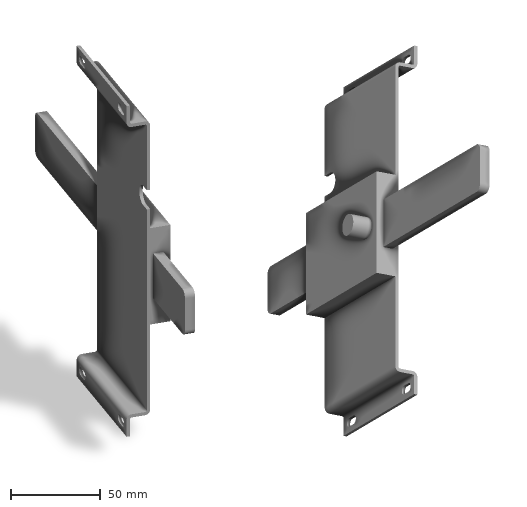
import cadquery as cq

plate_width = 80.0
plate_height = 206.0
sheet = 2.0
plate_back = 14.0
foot_height = 11.5
bend_inner = 1.0
bend_outer = bend_inner + sheet

slot_length = 10.0
slot_width = 5.0
slot_edge_x = 9.0
slot_edge_z = 6.0

notch_width = 12.0
notch_depth = 12.0
notch_z = 42.5

lock_z = -5.5
housing_height = 60.0
housing_depth = 12.0
housing_back = plate_back + housing_depth

bar_height = 28.0
bar_thickness = 6.0
bar_corner = 4.0
bar_front = 15.75
bar_reach_left = 109.5
bar_length = 240.5

spindle_diameter = 12.5
spindle_length = 11.7
spindle_edge_x = 12.0

half_width = plate_width / 2
half_height = plate_height / 2
web_outer = half_height - foot_height
web_inner = web_outer - sheet


def block(x_min, y_min, z_min, length, depth, height):
    """Box placed by its lowest corner."""
    return cq.Workplane("XY").box(length, depth, height, centered=False).translate((x_min, y_min, z_min))


def make_plate():
    """Flat panel, two webs and two feet, with all four bends rounded."""
    plate = block(-half_width, plate_back - sheet, -web_outer, plate_width, sheet, 2 * web_outer)
    for z_web, z_foot in ((web_inner, web_inner), (-web_outer, -half_height)):
        web = block(-half_width, 0, z_web, plate_width, plate_back, sheet)
        foot = block(-half_width, 0, z_foot, plate_width, sheet, half_height - web_inner)
        plate = plate.union(web).union(foot)
    for y, z, radius in (
        (plate_back, web_outer, bend_outer),
        (plate_back - sheet, web_inner, bend_inner),
        (sheet, web_outer, bend_inner),
        (0, web_inner, bend_outer),
    ):
        for side in (1, -1):
            corner = cq.selectors.NearestToPointSelector((0, y, side * z))
            plate = plate.edges("|X").edges(corner).fillet(radius)
    return plate


def cut_slots(plate):
    """Two slots through each foot."""
    slot_x = half_width - slot_edge_x
    slot_z = half_height - slot_edge_z
    centres = [(x, z) for x in (-slot_x, slot_x) for z in (-slot_z, slot_z)]
    slots = cq.Workplane("XZ").pushPoints(centres).slot2D(slot_length, slot_width).extrude(-sheet)
    return plate.cut(slots)


def cut_notch(plate):
    """Notch open to the +X side; the slot cutter runs past the side by its own depth."""
    notch = (
        cq.Workplane("XZ")
        .center(half_width, notch_z)
        .slot2D(2 * notch_depth, notch_width)
        .extrude(-plate_back)
    )
    return plate.cut(notch)


def make_housing():
    """Block on the back of the plate, as wide as the plate."""
    z_min = lock_z - housing_height / 2
    return block(-half_width, plate_back, z_min, plate_width, housing_depth, housing_height)


def make_bar():
    """Flat bar with rounded corners passing through the housing."""
    x_min = -half_width - bar_reach_left
    z_min = lock_z - bar_height / 2
    bar = block(x_min, bar_front, z_min, bar_length, bar_thickness, bar_height)
    return bar.edges("|Y").fillet(bar_corner)


def make_spindle():
    """Round spindle standing on the back of the housing."""
    return (
        cq.Workplane("XZ", origin=(0, housing_back, 0))
        .center(spindle_edge_x - half_width, lock_z)
        .circle(spindle_diameter / 2)
        .extrude(-spindle_length)
    )


plate = cut_notch(cut_slots(make_plate()))
result = plate.union(make_housing()).union(make_bar()).union(make_spindle())